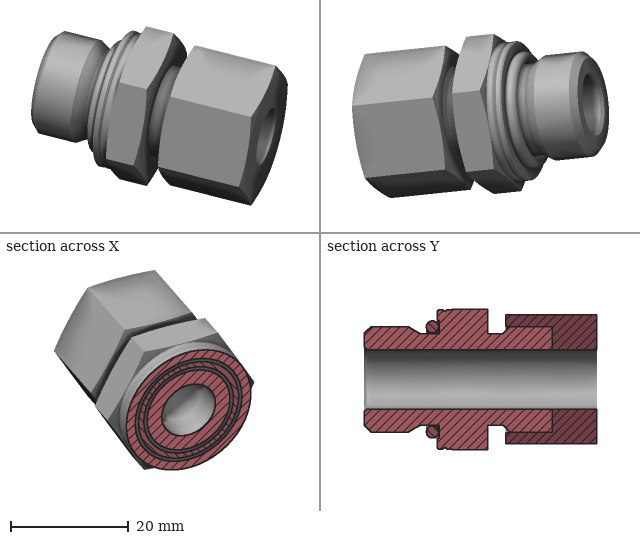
import cadquery as cq
import math


bore_radius = 5.0
bore_chamfer = 0.5

thread_radius = 9.0
neck_radius = 7.85
thread_step = thread_radius - neck_radius
thread_end = 7.5
runout_angle = math.radians(30)
neck_start = thread_end + thread_step / math.tan(runout_angle)

flange_face = 12.4
flange_radius = 11.9
flange_chamfer = 0.25
rim_groove_center = 13.7
rim_groove_half_width = 0.4
rim_groove_depth = 0.3

ring_section_radius = 1.075
ring_radius = neck_radius + ring_section_radius
ring_center = 11.6
ring_outer_radius = ring_radius + ring_section_radius
ring_seat = ring_center + ring_section_radius

hex_chamfer_angle = math.radians(15)
body_hex_start = 15.0
body_hex_end = 21.0
body_hex_flats = 24.0
nut_start = 24.0
nut_end = 39.5
nut_flats = 22.0
hex_face_inset = 0.1

stud_cone_start = 23.6
stud_cone_end = stud_cone_start + thread_step
stud_end = 32.0


def revolve_about_x(profile):
    """Turn a closed (x, radius) profile about the X axis."""
    return profile.close().revolve(360, (0, 0, 0), (1, 0, 0))


def cylinder(start, end, radius):
    return cq.Workplane("YZ", origin=(start, 0, 0)).circle(radius).extrude(end - start)


def chamfered_hex(start, end, across_flats):
    """Hex bar along X with corners on the Y axis, both ends turned to a shallow cone."""
    corner_radius = across_flats / math.sqrt(3)
    face_radius = across_flats / 2 - hex_face_inset
    chamfer_length = (corner_radius - face_radius) * math.tan(hex_chamfer_angle)
    prism = cq.Workplane("YZ", origin=(start, 0, 0)).polygon(6, 2 * corner_radius).extrude(end - start)
    envelope = revolve_about_x(
        cq.Workplane("XY")
        .moveTo(start, 0)
        .lineTo(start, face_radius)
        .lineTo(start + chamfer_length, corner_radius)
        .lineTo(end - chamfer_length, corner_radius)
        .lineTo(end, face_radius)
        .lineTo(end, 0)
    )
    return prism.intersect(envelope)


def make_body():
    turned = revolve_about_x(
        cq.Workplane("XY")
        .moveTo(0, bore_radius + bore_chamfer)
        .lineTo(0, neck_radius)
        .lineTo(thread_step, thread_radius)
        .lineTo(thread_end, thread_radius)
        .lineTo(neck_start, neck_radius)
        .lineTo(ring_seat, neck_radius)
        .lineTo(ring_seat, ring_outer_radius)
        .lineTo(flange_face, ring_outer_radius)
        .lineTo(flange_face, flange_radius - flange_chamfer)
        .lineTo(flange_face + flange_chamfer, flange_radius)
        .lineTo(rim_groove_center - rim_groove_half_width, flange_radius)
        .lineTo(rim_groove_center, flange_radius - rim_groove_depth)
        .lineTo(rim_groove_center + rim_groove_half_width, flange_radius)
        .lineTo(body_hex_start, flange_radius)
        .lineTo(body_hex_start, neck_radius)
        .lineTo(stud_cone_start, neck_radius)
        .lineTo(stud_cone_end, thread_radius)
        .lineTo(stud_end, thread_radius)
        .lineTo(stud_end, bore_radius)
        .lineTo(bore_chamfer, bore_radius)
    )
    body_hex = chamfered_hex(body_hex_start, body_hex_end, body_hex_flats)
    body_hex = body_hex.cut(cylinder(body_hex_start, body_hex_end, bore_radius))
    return turned.union(body_hex)


def make_sealing_ring():
    section = cq.Workplane("XY").moveTo(ring_center, ring_radius).circle(ring_section_radius)
    return section.revolve(360, (0, 0, 0), (1, 0, 0))


def make_nut():
    nut = chamfered_hex(nut_start, nut_end, nut_flats)
    nut = nut.cut(cylinder(nut_start, stud_end, thread_radius))
    return nut.cut(cylinder(stud_end, nut_end, bore_radius))


body = make_body()
sealing_ring = make_sealing_ring()
nut = make_nut()

result = cq.Compound.makeCompound([body.solids().val(), sealing_ring.val(), nut.solids().val()])